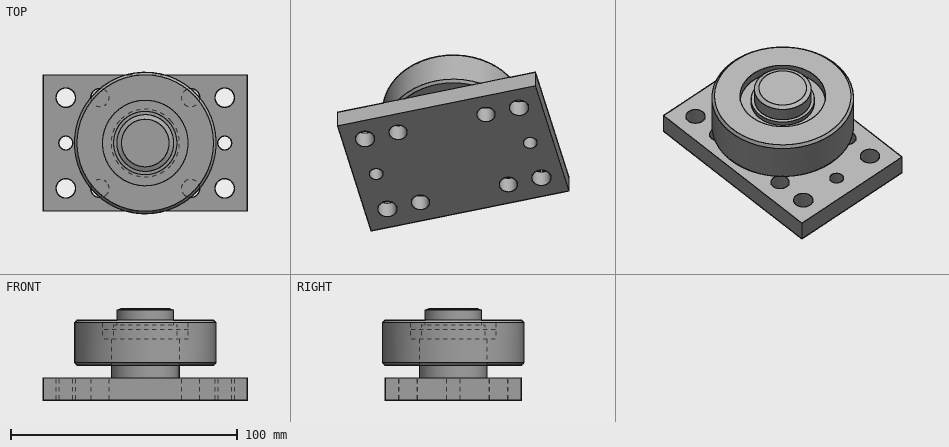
import cadquery as cq

plate_length = 90.0
plate_width = 60.0
plate_thickness = 10.0
corner_hole_diameter = 8.5
inner_hole_diameter = 8.0
dowel_hole_diameter = 6.0
outer_hole_x = 35.0
inner_hole_x = 20.0
hole_row_y = 20.0

overall_height = 40.5
shoulder_diameter = 30.0
collar_diameter = 27.9
tip_diameter = 25.0
tip_face_diameter = 21.0
tip_chamfer_height = 0.7

roller_diameter = 62.5
roller_height = 20.0
roller_chamfer = 1.2
roller_gap = 5.5
recess_diameter = 37.7

cover_thickness = 4.2
cover_depth = 4.2
collar_depth = 2.2

roller_bottom = plate_thickness + roller_gap
roller_top = roller_bottom + roller_height
cover_top = roller_top - cover_depth
collar_top = roller_top - collar_depth
cover_bottom = cover_top - cover_thickness


def cylinder(diameter, bottom, top):
    """Upright cylinder on the Z axis between two heights."""
    return cq.Workplane("XY").workplane(offset=bottom).circle(diameter / 2).extrude(top - bottom)


def make_plate():
    """Rectangular plate with two hole patterns and a pair of dowel holes."""
    plate = cq.Workplane("XY").box(
        plate_length, plate_width, plate_thickness, centered=(True, True, False)
    )
    hole_patterns = [
        (corner_hole_diameter, outer_hole_x, (-hole_row_y, hole_row_y)),
        (inner_hole_diameter, inner_hole_x, (-hole_row_y, hole_row_y)),
        (dowel_hole_diameter, outer_hole_x, (0,)),
    ]
    for diameter, x, rows in hole_patterns:
        centers = [(side * x, y) for side in (-1, 1) for y in rows]
        plate = plate.faces(">Z").workplane().pushPoints(centers).hole(diameter)
    return plate


def make_pin():
    """Pin turned from one profile: shoulder, collar and chamfered tip."""
    profile = [
        (0, plate_thickness),
        (shoulder_diameter / 2, plate_thickness),
        (shoulder_diameter / 2, cover_bottom),
        (collar_diameter / 2, cover_bottom),
        (collar_diameter / 2, collar_top),
        (tip_diameter / 2, collar_top),
        (tip_diameter / 2, overall_height - tip_chamfer_height),
        (tip_face_diameter / 2, overall_height),
        (0, overall_height),
    ]
    return cq.Workplane("XZ").polyline(profile).close().revolve(360, (0, 0), (0, 1))


def make_roller():
    """Chamfered ring bored for the shoulder, with a recess that seats the cover."""
    roller = cylinder(roller_diameter, roller_bottom, roller_top)
    roller = roller.faces("<Z or >Z").edges().chamfer(roller_chamfer)
    bore = cylinder(shoulder_diameter, roller_bottom, cover_bottom)
    recess = cylinder(recess_diameter, cover_bottom, roller_top)
    return roller.cut(bore).cut(recess)


def make_cover():
    """Flat ring between the pin collar and the roller recess."""
    cover = cylinder(recess_diameter, cover_bottom, cover_top)
    return cover.cut(cylinder(collar_diameter, cover_bottom, cover_top))


plate = make_plate()
pin = make_pin()
roller = make_roller()
cover = make_cover()

result = cq.Compound.makeCompound([plate.val(), pin.val(), roller.val(), cover.val()])